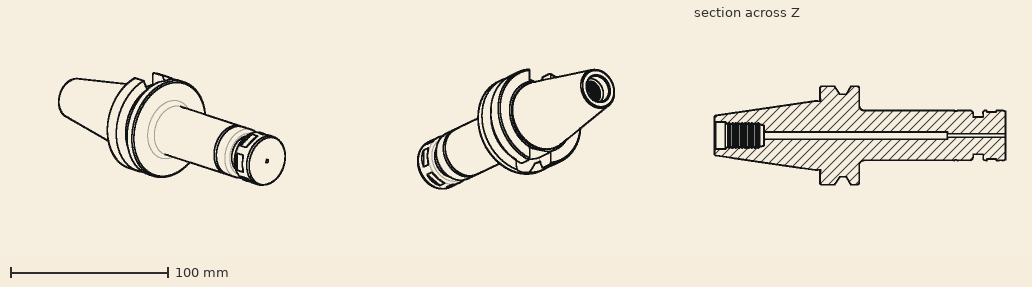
import cadquery as cq
import math


total_length = 185.4

taper_ratio = 7 / 24
gauge_diameter = 44.5
gauge_x = 65.5
taper_small_diameter = gauge_diameter - taper_ratio * gauge_x
end_face_diameter = 24.0
end_chamfer_length = 0.7
relief_diameter = 43.8
relief_bevel_length = 0.5
face_recess_diameter = 46.7
face_recess_depth = 0.5

flange_diameter = 63.0
flange_start = 67.1
flange_end = 92.3
flange_edge_chamfer = 1.0
vee_floor_diameter = 53.0
vee_start = 76.5
vee_floor_start = 80.0
vee_floor_end = 84.0
vee_end = 86.8

slot_width = 16.1
slot_end = 88.3
slot_floor_height = 22.5

body_diameter = 32.0
body_end = 164.8
body_root_fillet = 3.0
body_end_fillet = 2.2
ring_groove_start = 152.5
ring_groove_width = 2.2
ring_groove_depth = 0.4
neck_diameter = 24.0

nut_start = 171.0
nut_diameter = body_diameter
nut_back_fillet = 1.7
nut_front_chamfer_length = 1.7
nut_front_chamfer_depth = 0.5
flat_count = 6
flat_distance = 15.0
flat_start = 173.7
flat_end = 179.1
flat_ramp_length = 0.5

mouth_diameter = 18.2
mouth_chamfer_length = 1.0
pilot_diameter = 17.0
pilot_depth = 7.0
thread_major_diameter = 16.0
thread_minor_diameter = 14.0
thread_lead_in = 1.5
thread_pitch = 2.0
thread_turns = 10
bore_floor_diameter = 12.8
bore_floor = 31.5
coolant_diameter = 4.5
coolant_mouth_diameter = 5.0
coolant_depth = 148.3
through_diameter = 2.0


def make_turned_body():
    """Revolve the outer outline about the X axis."""
    flange_r = flange_diameter / 2
    body_r = body_diameter / 2
    nut_r = nut_diameter / 2
    neck_r = neck_diameter / 2
    relief_r = relief_diameter / 2
    recess_r = face_recess_diameter / 2
    vee_floor_r = vee_floor_diameter / 2
    chamfer_r = (taper_small_diameter + taper_ratio * end_chamfer_length) / 2
    ring_mid = ring_groove_start + ring_groove_width / 2
    ring_end = ring_groove_start + ring_groove_width

    outline = (
        cq.Workplane("XY")
        .moveTo(0, 0)
        .lineTo(0, end_face_diameter / 2)
        .lineTo(end_chamfer_length, chamfer_r)
        .lineTo(gauge_x, gauge_diameter / 2)
        .lineTo(gauge_x + relief_bevel_length, relief_r)
        .lineTo(flange_start, relief_r)
        .threePointArc(
            (flange_start + face_recess_depth, (relief_r + recess_r) / 2),
            (flange_start, recess_r),
        )
        .lineTo(flange_start, flange_r - flange_edge_chamfer)
        .lineTo(flange_start + flange_edge_chamfer, flange_r)
        .lineTo(vee_start, flange_r)
        .lineTo(vee_floor_start, vee_floor_r)
        .lineTo(vee_floor_end, vee_floor_r)
        .lineTo(vee_end, flange_r)
        .lineTo(flange_end - flange_edge_chamfer, flange_r)
        .lineTo(flange_end, flange_r - flange_edge_chamfer)
        .lineTo(flange_end, body_r + body_root_fillet)
        .radiusArc((flange_end + body_root_fillet, body_r), -body_root_fillet)
        .lineTo(ring_groove_start, body_r)
        .threePointArc((ring_mid, body_r - ring_groove_depth), (ring_end, body_r))
        .lineTo(body_end - body_end_fillet, body_r)
        .radiusArc((body_end, body_r - body_end_fillet), body_end_fillet)
        .lineTo(body_end, neck_r)
        .lineTo(nut_start, neck_r)
        .lineTo(nut_start, nut_r - nut_back_fillet)
        .radiusArc((nut_start + nut_back_fillet, nut_r), nut_back_fillet)
        .lineTo(total_length - nut_front_chamfer_length, nut_r)
        .lineTo(total_length, nut_r - nut_front_chamfer_depth)
        .lineTo(total_length, 0)
        .close()
    )
    return outline.revolve(360, (0, 0, 0), (1, 0, 0))


def make_bore():
    """Revolve the stepped, threaded bore; the thread is a row of vee rings."""
    coolant_chamfer = (coolant_mouth_diameter - coolant_diameter) / 2
    thread_start = pilot_depth + thread_lead_in
    minor_r = thread_minor_diameter / 2
    major_r = thread_major_diameter / 2

    outline = (
        cq.Workplane("XY")
        .moveTo(0, 0)
        .lineTo(0, mouth_diameter / 2)
        .lineTo(mouth_chamfer_length, pilot_diameter / 2)
        .lineTo(pilot_depth, pilot_diameter / 2)
        .lineTo(thread_start, minor_r)
    )
    for turn in range(thread_turns):
        turn_start = thread_start + turn * thread_pitch
        outline = outline.lineTo(turn_start + thread_pitch / 2, major_r)
        outline = outline.lineTo(turn_start + thread_pitch, minor_r)
    outline = (
        outline.lineTo(bore_floor, bore_floor_diameter / 2)
        .lineTo(bore_floor, coolant_mouth_diameter / 2)
        .lineTo(bore_floor + coolant_chamfer, coolant_diameter / 2)
        .lineTo(coolant_depth, coolant_diameter / 2)
        .lineTo(coolant_depth, through_diameter / 2)
        .lineTo(total_length, through_diameter / 2)
        .lineTo(total_length, 0)
        .close()
    )
    return outline.revolve(360, (0, 0, 0), (1, 0, 0))


def make_drive_slot():
    """Cutter for the upper drive slot: open towards the taper, with a round end."""
    slot_r = slot_width / 2
    center_x = slot_end - slot_r
    return (
        cq.Workplane("XY", origin=(0, 0, slot_floor_height))
        .moveTo(gauge_x, -slot_r)
        .lineTo(center_x, -slot_r)
        .threePointArc((slot_end, 0), (center_x, slot_r))
        .lineTo(gauge_x, slot_r)
        .close()
        .extrude(flange_diameter / 2)
    )


def make_nut_flat():
    """Cutter for one wrench flat on the -Y side, with a short ramp at each end."""
    nut_r = nut_diameter / 2
    half_chord = math.sqrt(nut_r**2 - flat_distance**2)
    return (
        cq.Workplane("XY")
        .moveTo(flat_start, -flat_distance)
        .lineTo(flat_end, -flat_distance)
        .lineTo(flat_end + flat_ramp_length, -nut_r)
        .lineTo(flat_start - flat_ramp_length, -nut_r)
        .close()
        .extrude(half_chord, both=True)
    )


result = make_turned_body().cut(make_bore())

drive_slot = make_drive_slot()
for angle in (0, 180):
    result = result.cut(drive_slot.rotate((0, 0, 0), (1, 0, 0), angle))

nut_flat = make_nut_flat()
for index in range(flat_count):
    result = result.cut(nut_flat.rotate((0, 0, 0), (1, 0, 0), index * 360 / flat_count))